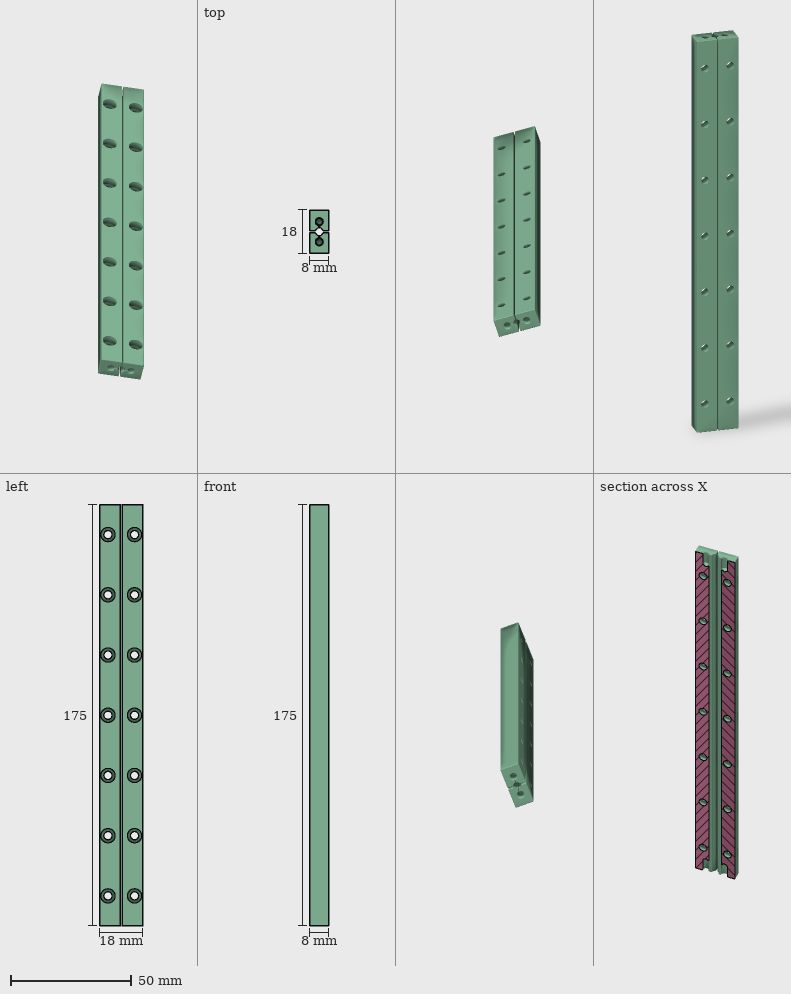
import cadquery as cq
import math

LENGTH = 175.0
THICKNESS = 8.0
PAIR_WIDTH = 18.0
RAIL_GAP = 0.5
EDGE_CHAMFER = 0.2

GROOVE_MOUTH_WIDTH = 3.8
GROOVE_FLOOR_WIDTH = 1.4
RELIEF_WIDTH = 0.4
RELIEF_DEPTH = 2.5

HOLE_COUNT = 7
HOLE_PITCH = LENGTH / HOLE_COUNT
HOLE_ROW_SPACING = 11.0
HOLE_DIAMETER = 3.3
COUNTERBORE_DIAMETER = 6.0
COUNTERBORE_DEPTH = 3.2

END_HOLE_SPACING = 8.4
END_HOLE_DIAMETER = 2.6
END_HOLE_MOUTH_DIAMETER = 3.3
END_HOLE_DEPTH = 6.0
DRILL_POINT_ANGLE = 118

INNER_FACE = RAIL_GAP / 2
OUTER_FACE = PAIR_WIDTH / 2
RAIL_WIDTH = OUTER_FACE - INNER_FACE
GROOVE_DEPTH = (GROOVE_MOUTH_WIDTH - GROOVE_FLOOR_WIDTH) / 2


def rail_bar(side):
    """Chamfered bar on the +Y (side = 1) or -Y (side = -1) half of the pair."""
    bar = cq.Workplane("XY").box(THICKNESS, RAIL_WIDTH, LENGTH)
    bar = bar.edges().chamfer(EDGE_CHAMFER)
    return bar.translate((0, side * (INNER_FACE + RAIL_WIDTH / 2), 0))


def roller_groove(side):
    """Flat-floored vee and relief slot running the full length of the inner face."""
    face = side * INNER_FACE
    floor = face + side * GROOVE_DEPTH
    vee = (
        cq.Workplane("XY", origin=(0, 0, -LENGTH / 2))
        .moveTo(-GROOVE_MOUTH_WIDTH / 2, face)
        .lineTo(GROOVE_MOUTH_WIDTH / 2, face)
        .lineTo(GROOVE_FLOOR_WIDTH / 2, floor)
        .lineTo(-GROOVE_FLOOR_WIDTH / 2, floor)
        .close()
        .extrude(LENGTH)
    )
    slot = cq.Workplane("XY").box(RELIEF_WIDTH, RELIEF_DEPTH, LENGTH)
    return vee.union(slot.translate((0, face + side * RELIEF_DEPTH / 2, 0)))


def mounting_holes(side):
    """Row of through holes along X, counterbored from the -X face."""
    first_height = -HOLE_PITCH * (HOLE_COUNT - 1) / 2
    centres = [(side * HOLE_ROW_SPACING / 2, first_height + i * HOLE_PITCH) for i in range(HOLE_COUNT)]
    face = cq.Workplane("YZ", origin=(-THICKNESS / 2, 0, 0)).pushPoints(centres)
    through = face.circle(HOLE_DIAMETER / 2).extrude(THICKNESS)
    counterbore = face.circle(COUNTERBORE_DIAMETER / 2).extrude(COUNTERBORE_DEPTH)
    return through.union(counterbore)


def end_holes(side):
    """Countersunk blind holes entering the rail from both ends."""
    radius = END_HOLE_DIAMETER / 2
    mouth_radius = END_HOLE_MOUTH_DIAMETER / 2
    top = LENGTH / 2
    bottom = top - END_HOLE_DEPTH
    point_length = radius / math.tan(math.radians(DRILL_POINT_ANGLE / 2))
    upper_hole = (
        cq.Workplane("XZ")
        .moveTo(0, top)
        .lineTo(mouth_radius, top)
        .lineTo(radius, top - (mouth_radius - radius))
        .lineTo(radius, bottom)
        .lineTo(0, bottom - point_length)
        .close()
        .revolve(360, (0, 0), (0, 1))
        .translate((0, side * END_HOLE_SPACING / 2, 0))
    )
    return upper_hole.union(upper_hole.mirror("XY"))


def rail(side):
    """Complete rail on one side of the gap."""
    body = rail_bar(side)
    body = body.cut(roller_groove(side))
    body = body.cut(mounting_holes(side))
    return body.cut(end_holes(side))


rails = [rail(side) for side in (-1, 1)]

result = cq.Compound.makeCompound([body.val() for body in rails])